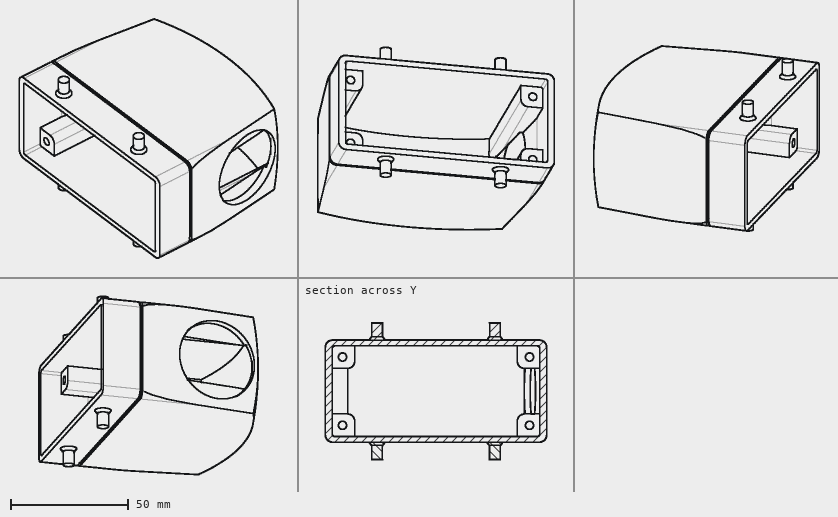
import cadquery as cq
import math

LENGTH = 94.0
HEIGHT = 43.4
DEPTH = 77.55
CORNER_RADIUS = 3.2
DOME_RADIUS = 120.0

SKIRT_DEPTH = 16.3
GROOVE_WIDTH = 1.1
GROOVE_DEPTH = 1.0
HOOD_START = SKIRT_DEPTH + GROOVE_WIDTH

END_ANGLE = math.radians(7.7)

WALL = 2.5
SKIRT_END_WALL = 3.0
CAVITY_CORNER_RADIUS = 1.0
CAVITY_HALF_LENGTH = LENGTH / 2 - SKIRT_END_WALL
CAVITY_HALF_HEIGHT = HEIGHT / 2 - WALL

POST_SIZE = 9.5
POST_RADIUS = 3.0
POST_RECESS = 9.0
SCREW_HOLE_DIAMETER = 3.5
SCREW_HOLE_DEPTH = 11.3
SCREW_X = 39.7
SCREW_Z = 14.5

CABLE_HOLE_DIAMETER = 35.0
CABLE_HOLE_Y = 51.8
CABLE_CUTTER_REACH = 1.5 * WALL

PIN_DIAMETER = 4.7
PIN_SPAN = 58.0
PIN_X = 25.0
PIN_Y = 6.5
COLLAR_DIAMETER = 6.9
COLLAR_HEIGHT = 1.4
PIN_LENGTH = (PIN_SPAN - HEIGHT) / 2 - COLLAR_HEIGHT


def rounded_bar(length, height, radius, start, end):
    """Bar along Y, centred on X and Z, with rounded long edges."""
    bar = cq.Workplane("XZ", origin=(0, start, 0)).rect(length, height).extrude(start - end)
    return bar.edges("|Y").fillet(radius)


def hood_limits(wall):
    """Space between the sloping ends and under the dome, set in by a wall thickness."""
    slope = math.tan(END_ANGLE)
    half_at_hood = LENGTH / 2 - wall / math.cos(END_ANGLE)
    half_at_opening = half_at_hood + HOOD_START * slope
    half_at_back = half_at_hood - (DEPTH - HOOD_START) * slope
    wedge = (
        cq.Workplane("XY", origin=(0, 0, -HEIGHT))
        .moveTo(-half_at_opening, 0)
        .lineTo(half_at_opening, 0)
        .lineTo(half_at_back, DEPTH)
        .lineTo(-half_at_back, DEPTH)
        .close()
        .extrude(2 * HEIGHT)
    )
    dome = cq.Workplane("XZ", origin=(0, DEPTH - DOME_RADIUS, 0)).sphere(DOME_RADIUS - wall)
    return wedge.intersect(dome)


def make_groove():
    """Ring that is cut away between the skirt and the hood."""
    ring = cq.Workplane("XZ", origin=(0, SKIRT_DEPTH, 0)).rect(2 * LENGTH, 2 * HEIGHT).extrude(-GROOVE_WIDTH)
    floor = rounded_bar(LENGTH - 2 * GROOVE_DEPTH, HEIGHT - 2 * GROOVE_DEPTH, CORNER_RADIUS, 0, DEPTH)
    return ring.cut(floor)


def make_post_space(x_side, z_side):
    """Bar around one cavity corner; its quarter inside the cavity is a screw post."""
    return (
        cq.Workplane("XZ", origin=(x_side * CAVITY_HALF_LENGTH, POST_RECESS, z_side * CAVITY_HALF_HEIGHT))
        .rect(2 * POST_SIZE, 2 * POST_SIZE)
        .extrude(-DEPTH)
        .edges("|Y")
        .fillet(POST_RADIUS)
    )


def make_cavity():
    """Inside of the housing, leaving the four screw posts standing."""
    bar = rounded_bar(2 * CAVITY_HALF_LENGTH, 2 * CAVITY_HALF_HEIGHT, CAVITY_CORNER_RADIUS, 0, DEPTH)
    cavity = bar.intersect(hood_limits(WALL))
    for x_side in (-1, 1):
        for z_side in (-1, 1):
            cavity = cavity.cut(make_post_space(x_side, z_side))
    return cavity


def make_screw_holes():
    """Blind holes in the front faces of the posts."""
    return (
        cq.Workplane("XZ", origin=(0, POST_RECESS, 0))
        .rect(2 * SCREW_X, 2 * SCREW_Z, forConstruction=True)
        .vertices()
        .circle(SCREW_HOLE_DIAMETER / 2)
        .extrude(-SCREW_HOLE_DEPTH)
    )


def make_cable_hole():
    """Bore square to the sloping +X end."""
    face_x = LENGTH / 2 - (CABLE_HOLE_Y - HOOD_START) * math.tan(END_ANGLE)
    end_face = cq.Plane(
        origin=(face_x, CABLE_HOLE_Y, 0),
        xDir=(0, 0, 1),
        normal=(math.cos(END_ANGLE), math.sin(END_ANGLE), 0),
    )
    return cq.Workplane(end_face).circle(CABLE_HOLE_DIAMETER / 2).extrude(CABLE_CUTTER_REACH, both=True)


def make_housing():
    skirt = rounded_bar(LENGTH, HEIGHT, CORNER_RADIUS, 0, HOOD_START)
    hood = rounded_bar(LENGTH, HEIGHT, CORNER_RADIUS, HOOD_START, DEPTH).intersect(hood_limits(0))
    body = skirt.union(hood).cut(make_groove()).cut(make_cavity())
    return body.cut(make_screw_holes()).cut(make_cable_hole())


def make_collar(x, side):
    """Cone narrowing from the housing wall to the pin."""
    base = cq.Vector(x, PIN_Y, side * HEIGHT / 2)
    outward = cq.Vector(0, 0, side)
    return cq.Solid.makeCone(COLLAR_DIAMETER / 2, PIN_DIAMETER / 2, COLLAR_HEIGHT, pnt=base, dir=outward)


def make_pin(x, side):
    """Round pin standing on its collar."""
    base = cq.Vector(x, PIN_Y, side * (HEIGHT / 2 + COLLAR_HEIGHT))
    outward = cq.Vector(0, 0, side)
    return cq.Solid.makeCylinder(PIN_DIAMETER / 2, PIN_LENGTH, pnt=base, dir=outward)


housing = make_housing()
collars = []
pins = []
for pin_x in (-PIN_X, PIN_X):
    for pin_side in (-1, 1):
        collars.append(make_collar(pin_x, pin_side))
        pins.append(make_pin(pin_x, pin_side))

result = cq.Compound.makeCompound([housing.val(), *collars, *pins])